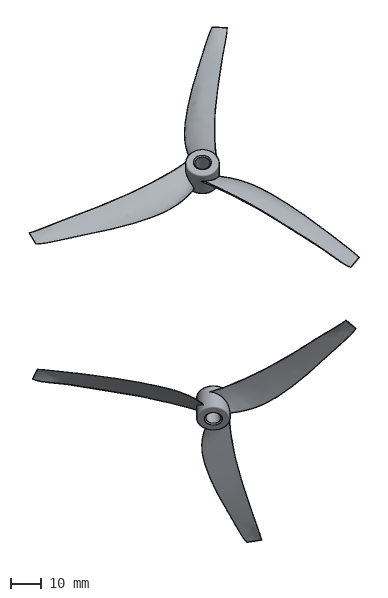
import cadquery as cq
import math

HUB_DIAMETER = 11.0
HUB_HEIGHT = 10.0
BORE_DIAMETER = 5.0
HUB_ROUNDING = 0.5
BORE_CHAMFER = 0.4

BLADE_COUNT = 3
TIP_RADIUS = 61.0
CHORD_FRACTIONS = (0, 0.05, 0.15, 0.4, 0.7, 1)
NOSE_FULLNESS = 2.2
TAIL_THICKNESS_RATIO = 0.5

BLADE_STATIONS = [
    (1.6, (-5.0, 7.2), (1.4, 2.0), 0.4, 1.0),
    (5.4, (-4.1, 6.8), (3.7, 2.0), 0.5, 1.0),
    (10.8, (-3.4, 6.2), (6.0, 1.7), 0.6, 0.9),
    (18.4, (-2.7, 5.5), (7.1, 1.5), 0.5, 0.8),
    (28.1, (-2.5, 4.7), (6.8, 1.5), 0.5, 0.6),
    (39, (-2.8, 3.9), (5.4, 1.8), 0.3, 0.5),
    (50.9, (-3.5, 3.1), (3.2, 2.2), 0.2, 0.4),
    (TIP_RADIUS, (-4.0, 2.6), (1.0, 2.5), 0, 0.2),
]


def blade_section(x, blunt_edge, round_edge, camber, thickness):
    """Closed airfoil wire in the plane at x, from the blunt edge over the top and back below."""
    chord = cq.Vector(0, blunt_edge[0] - round_edge[0], blunt_edge[1] - round_edge[1])
    normal = cq.Vector(1, 0, 0).cross(chord.normalized())
    if normal.z < 0:
        normal = normal * -1
    nose = cq.Vector(x, *round_edge)

    def skin_point(fraction, side):
        camber_height = 4 * camber * fraction * (1 - fraction)
        nose_bulge = NOSE_FULLNESS * math.sqrt(fraction) * (1 - fraction)
        half_thickness = thickness / 2 * (TAIL_THICKNESS_RATIO * fraction + nose_bulge)
        return nose + chord * fraction + normal * (camber_height + side * half_thickness)

    upper_points = [skin_point(fraction, 1) for fraction in CHORD_FRACTIONS]
    lower_points = [skin_point(fraction, -1) for fraction in CHORD_FRACTIONS]
    upper = cq.Edge.makeSpline(upper_points[::-1])
    lower = cq.Edge.makeSpline(lower_points)
    blunt_tail = cq.Edge.makeLine(lower_points[-1], upper_points[-1])
    return cq.Wire.assembleEdges([upper, lower, blunt_tail])


def make_blade():
    sections = [blade_section(*station) for station in BLADE_STATIONS]
    return cq.Workplane(cq.Solid.makeLoft(sections))


def make_hub():
    return cq.Workplane().circle(HUB_DIAMETER / 2).extrude(HUB_HEIGHT).edges().fillet(HUB_ROUNDING)


def make_bore():
    """Through bore with a chamfered mouth at both ends."""
    bore_radius = BORE_DIAMETER / 2
    mouth_radius = bore_radius + BORE_CHAMFER
    half_profile = [
        (0, 0),
        (mouth_radius, 0),
        (bore_radius, BORE_CHAMFER),
        (bore_radius, HUB_HEIGHT - BORE_CHAMFER),
        (mouth_radius, HUB_HEIGHT),
        (0, HUB_HEIGHT),
    ]
    return cq.Workplane("XZ").polyline(half_profile).close().revolve(360, (0, 0), (0, 1))


propeller = make_hub()
blade = make_blade()
for index in range(BLADE_COUNT):
    angle = index * 360 / BLADE_COUNT
    propeller = propeller.union(blade.rotate((0, 0, 0), (0, 0, 1), angle))
result = propeller.cut(make_bore())